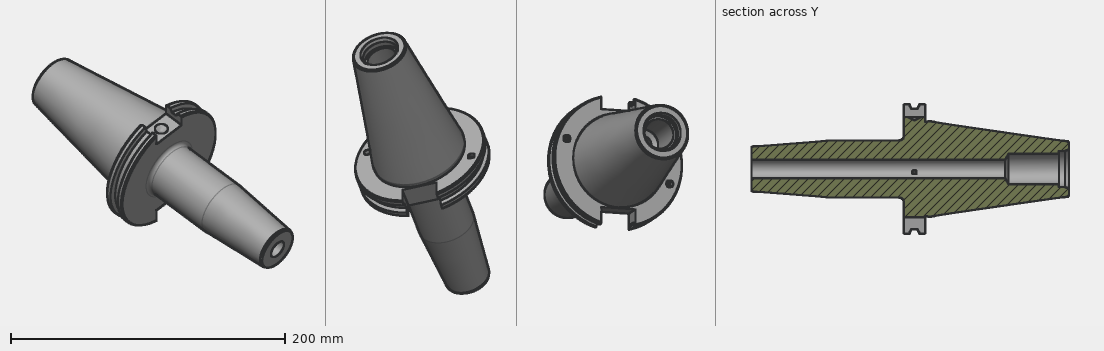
import cadquery as cq
import math


total_length = 231.5
gauge_diameter = 70.0
taper_length = 101.7
taper_ratio = 7 / 24
taper_end_diameter = gauge_diameter - taper_length * taper_ratio
taper_end_chamfer = 1.0

relief_start = 102.1
relief_chamfer_end = 103.8
relief_diameter = 69.2

flange_start = 104.7
flange_end = 120.7
flange_diameter = 98.2
flange_edge_width = 1.0
flange_edge_height = 0.7
groove_center = 112.8
groove_rim_width = 7.5
groove_floor_width = 4.5
groove_floor_diameter = 91.7

shank_diameter = 42.0
shank_fillet = 3.0
nose_start = 174.9
nose_angle = 4.5
nose_edge_length = 1.6
nose_edge_height = 0.7

mouth_diameter = 28.5
mouth_chamfer_length = 3.0
counterbore_diameter = 26.2
counterbore_depth = 7.5
thread_bore_diameter = 22.0
thread_bore_depth = 44.0
coolant_bore_diameter = 13.5
drill_half_angle = 59.0

slot_width = 26.0
upper_slot_floor = 38.0
lower_slot_floor = 35.2
dimple_diameter = 9.5
dimple_depth = 2.3

port_circle_radius = 42.0
port_angle = 20.0
port_slope = 15.0
port_mouth_diameter = 5.0
port_mouth_depth = 3.5
port_diameter = 4.2
cross_mouth_diameter = 4.2
cross_mouth_depth = 2.3
cross_port_diameter = 3.2


def tangent(degrees):
    return math.tan(math.radians(degrees))


def make_body():
    """Revolve the outer profile, flange groove included."""
    flange_radius = flange_diameter / 2
    flange_edge_radius = flange_radius - flange_edge_height
    groove_floor_radius = groove_floor_diameter / 2
    floor_half_width = groove_floor_width / 2
    rim_half_width = groove_rim_width / 2
    shank_radius = shank_diameter / 2
    fillet_center = (flange_end + shank_fillet, shank_radius + shank_fillet)
    fillet_reach = shank_fillet * math.sqrt(0.5)
    fillet_middle = (fillet_center[0] - fillet_reach, fillet_center[1] - fillet_reach)
    nose_edge_start = total_length - nose_edge_length
    nose_radius = shank_radius - (nose_edge_start - nose_start) * tangent(nose_angle)
    taper_edge_radius = (taper_end_diameter + taper_end_chamfer * taper_ratio) / 2

    profile = (
        cq.Workplane("XY")
        .moveTo(0, 0)
        .lineTo(0, taper_end_diameter / 2 - taper_end_chamfer)
        .lineTo(taper_end_chamfer, taper_edge_radius)
        .lineTo(taper_length, gauge_diameter / 2)
        .lineTo(relief_start, gauge_diameter / 2)
        .lineTo(relief_chamfer_end, relief_diameter / 2)
        .lineTo(flange_start, relief_diameter / 2)
        .lineTo(flange_start, flange_edge_radius)
        .lineTo(flange_start + flange_edge_width, flange_radius)
        .lineTo(groove_center - rim_half_width, flange_radius)
        .lineTo(groove_center - floor_half_width, groove_floor_radius)
        .lineTo(groove_center + floor_half_width, groove_floor_radius)
        .lineTo(groove_center + rim_half_width, flange_radius)
        .lineTo(flange_end - flange_edge_width, flange_radius)
        .lineTo(flange_end, flange_edge_radius)
        .lineTo(flange_end, fillet_center[1])
        .threePointArc(fillet_middle, (fillet_center[0], shank_radius))
        .lineTo(nose_start, shank_radius)
        .lineTo(nose_edge_start, nose_radius)
        .lineTo(total_length, nose_radius - nose_edge_height)
        .lineTo(total_length, 0)
        .close()
    )
    return profile.revolve(360, (0, 0, 0), (1, 0, 0))


def make_bore():
    """Revolve the stepped bore: mouth chamfer, counterbore, thread bore and through bore."""
    counterbore_radius = counterbore_diameter / 2
    thread_radius = thread_bore_diameter / 2
    coolant_radius = coolant_bore_diameter / 2
    mouth_radius = mouth_diameter / 2
    cone_length = (thread_radius - coolant_radius) / tangent(drill_half_angle)
    profile = (
        cq.Workplane("XY")
        .moveTo(0, 0)
        .lineTo(0, mouth_radius)
        .lineTo(mouth_chamfer_length, counterbore_radius)
        .lineTo(counterbore_depth, counterbore_radius)
        .lineTo(counterbore_depth, thread_radius)
        .lineTo(thread_bore_depth, thread_radius)
        .lineTo(thread_bore_depth + cone_length, coolant_radius)
        .lineTo(total_length, coolant_radius)
        .lineTo(total_length, 0)
        .close()
    )
    return profile.revolve(360, (0, 0, 0), (1, 0, 0))


def make_slot(floor, side):
    """Drive slot above (side = 1) or below (side = -1) the axis, open at the flange rim."""
    height = flange_diameter / 2 - floor
    middle = side * (floor + height / 2)
    length = flange_end - flange_start
    return cq.Workplane("XY").box(length, slot_width, height).translate(
        (flange_start + length / 2, 0, middle)
    )


def make_dimple():
    """Conical dimple in the floor of the upper slot."""
    cone = cq.Solid.makeCone(
        dimple_diameter / 2,
        0,
        dimple_depth,
        cq.Vector((flange_start + flange_end) / 2, 0, upper_slot_floor),
        cq.Vector(0, 0, -1),
    )
    return cq.Workplane(cone)


def make_stepped_hole(start, direction, mouth_diameter, mouth_depth, diameter, depth):
    """Hole from start along direction, wider over its first stretch."""
    mouth = cq.Solid.makeCylinder(mouth_diameter / 2, mouth_depth, start, direction)
    hole = cq.Solid.makeCylinder(diameter / 2, depth, start, direction)
    return cq.Workplane(mouth).union(cq.Workplane(hole))


def make_port(side):
    """Sloping port from the rear flange face and the cross port from groove to bore."""
    outward = cq.Vector(
        0,
        side * math.cos(math.radians(port_angle)),
        side * math.sin(math.radians(port_angle)),
    )
    along_x = cq.Vector(1, 0, 0)
    port_direction = (along_x - outward * tangent(port_slope)).normalized()
    groove_distance = groove_center - flange_start
    groove_floor_radius = groove_floor_diameter / 2
    face_center = along_x * flange_start + outward * port_circle_radius
    groove_point = along_x * groove_center + outward * groove_floor_radius

    lead_in = port_mouth_diameter / 2
    port_depth = groove_distance / math.cos(math.radians(port_slope)) + cross_port_diameter / 2
    sloping_port = make_stepped_hole(
        face_center - port_direction * lead_in,
        port_direction,
        port_mouth_diameter,
        port_mouth_depth + lead_in,
        port_diameter,
        port_depth + lead_in,
    )
    cross_port = make_stepped_hole(
        groove_point + outward * lead_in,
        outward * -1,
        cross_mouth_diameter,
        cross_mouth_depth + lead_in,
        cross_port_diameter,
        groove_floor_radius + lead_in,
    )
    return sloping_port.union(cross_port)


result = make_body().cut(make_bore())
result = result.cut(make_slot(upper_slot_floor, 1)).cut(make_slot(lower_slot_floor, -1))
result = result.cut(make_dimple())
for port_side in (1, -1):
    result = result.cut(make_port(port_side))